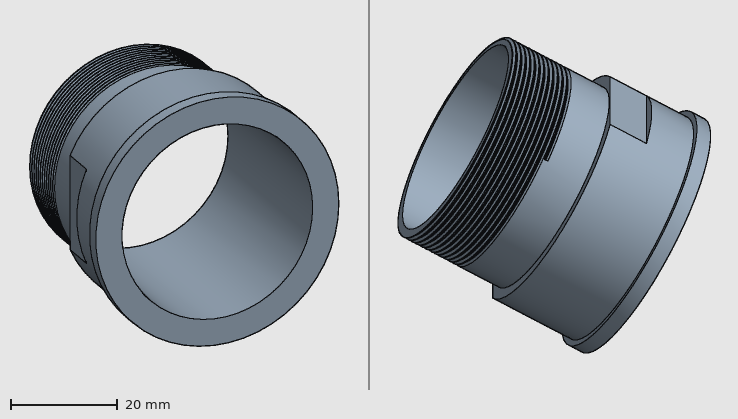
import cadquery as cq

neck_end = 20.95
body_end = 37.95
total_length = 41.0

bore_diameter = 38.8
neck_diameter = 42.35
body_diameter = 47.02
flange_diameter = 49.5

flat_spacing = 43.05
flat_length = 7.9

thread_turns = 12
thread_span = 12.1
thread_pitch = thread_span / thread_turns
thread_depth = 0.6
first_root = 0.4
groove_root_width = 0.2
groove_mouth_width = 0.8
lead_in_turns = 1
end_trim_turns = 0.1
cutter_overlap = 0.15


def cylinder(diameter, start, end):
    """Solid cylinder on the X axis between two axial positions."""
    return cq.Workplane("YZ", origin=(start, 0, 0)).circle(diameter / 2).extrude(end - start)


def flat_cutter(side):
    """Block that removes one wrench flat, on the +Y or -Y side."""
    depth = (flange_diameter - flat_spacing) / 2
    return cq.Workplane("XY").box(flat_length, depth, flange_diameter).translate(
        (neck_end + flat_length / 2, side * (flat_spacing + depth) / 2, 0)
    )


def thread_cutter():
    """Helical trapezoid groove, swept about Z and then turned onto the X axis."""
    turns = lead_in_turns + thread_turns - end_trim_turns
    neck_radius = neck_diameter / 2
    root_radius = neck_radius - thread_depth
    outer_radius = neck_radius + cutter_overlap
    flank_slope = (groove_mouth_width - groove_root_width) / 2 / thread_depth
    half_root = groove_root_width / 2
    half_outer = half_root + flank_slope * (outer_radius - root_radius)

    path = cq.Wire.makeHelix(thread_pitch, turns * thread_pitch, root_radius)
    profile = cq.Workplane("XZ").polyline([
        (root_radius, -half_root),
        (outer_radius, -half_outer),
        (outer_radius, half_outer),
        (root_radius, half_root),
    ]).close()
    groove = profile.sweep(cq.Workplane(path), isFrenet=True)
    start = first_root - lead_in_turns * thread_pitch
    return groove.rotate((0, 0, 0), (0, 1, 0), 90).translate((start, 0, 0))


neck = cylinder(neck_diameter, 0, neck_end).cut(thread_cutter())
body = cylinder(body_diameter, neck_end, body_end)
for side in (-1, 1):
    body = body.cut(flat_cutter(side))
flange = cylinder(flange_diameter, body_end, total_length)

bore = cylinder(bore_diameter, 0, total_length)
result = neck.union(body).union(flange).cut(bore)